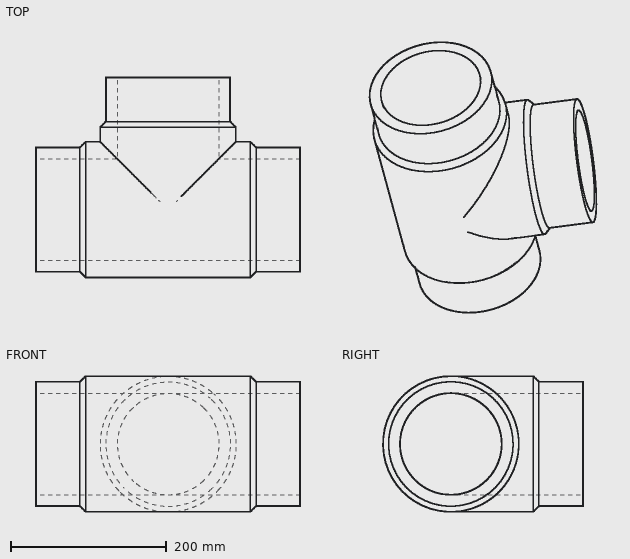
import cadquery as cq

run_length = 340.0
branch_reach = run_length / 2
pipe_diameter = 160.0
body_diameter = 174.8
bore_diameter = 130.5
spigot_length = 56.8

pipe_radius = pipe_diameter / 2
body_radius = body_diameter / 2
bore_radius = bore_diameter / 2
shoulder = body_radius - pipe_radius


def tee_arm(direction):
    """Solid arm from the tee centre: thick body, bevelled shoulder and spigot."""
    plane = cq.Plane(origin=(0, 0, 0), xDir=(0, 0, 1), normal=direction)
    body_length = branch_reach - spigot_length
    body = cq.Workplane(plane).circle(body_radius).extrude(body_length)
    body = body.faces(cq.selectors.DirectionMinMaxSelector(cq.Vector(*direction))).chamfer(shoulder)
    spigot = cq.Workplane(plane).circle(pipe_radius).extrude(branch_reach)
    return body.union(spigot)


def arm_bore(direction):
    """Straight bore from the tee centre out through the arm's end."""
    plane = cq.Plane(origin=(0, 0, 0), xDir=(0, 0, 1), normal=direction)
    return cq.Workplane(plane).circle(bore_radius).extrude(branch_reach)


left, right, branch = (-1, 0, 0), (1, 0, 0), (0, 1, 0)

outside = tee_arm(left).union(tee_arm(right)).union(tee_arm(branch))
passage = arm_bore(left).union(arm_bore(right)).union(arm_bore(branch))

result = outside.cut(passage).clean()